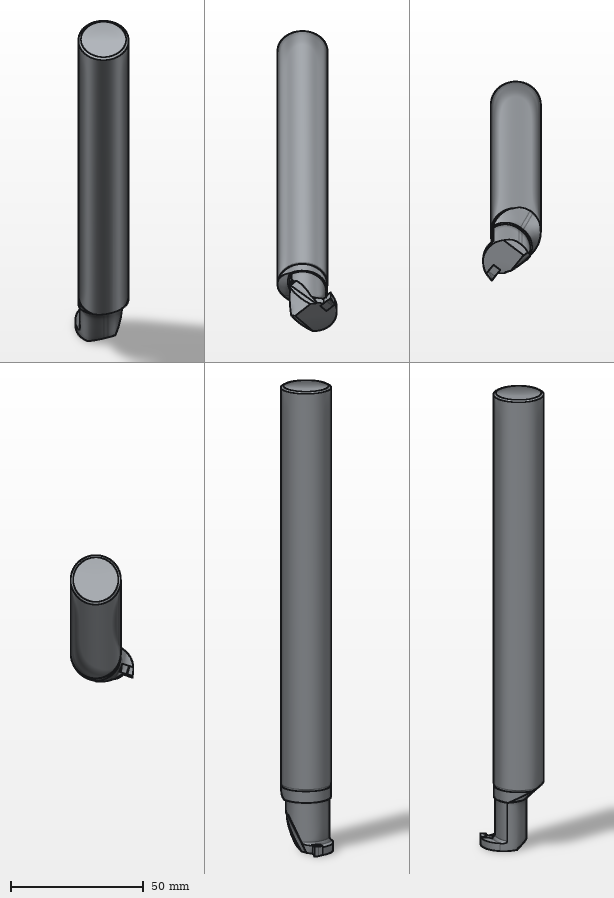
import cadquery as cq
import math


shank_diameter = 19.03
shank_radius = shank_diameter / 2
total_length = 180.0
shank_bottom = 24.3
top_chamfer_width = 1.0
top_chamfer_height = 0.6
shank_lower_chamfer_width = 0.2
shank_lower_chamfer_height = 0.9

collar_radius = 9.45
collar_bottom = 19.8
collar_cone_radius = 9.0
collar_cone_angle = 45.0

neck_radius = 8.9
back_center_x = -5.5
back_center_y = 0.7
back_radius = 8.3
neck_root_fillet = 1.0

foot_bottom = 0.4
foot_top = 3.5
foot_arc_radius = back_radius + back_center_y
foot_chamfer = 2.2
gullet_start = (-11.1, 0.0)
gullet_end = (-6.5, 6.0)

relief_low = (3.3, foot_bottom)
relief_middle = (6.4, 7.5)
relief_high = (8.9, collar_bottom)

scoop_wall_start = (-9.0, 2.0)
scoop_wall_end = (-1.0, 8.0)
scoop_floor_low = (2.0, foot_bottom)
scoop_floor_high = (7.8, 14.2)

insert_thickness = 3.3
insert_inner_x = -9.4
tip_inner_x = -12.6
tip_step_run = 0.5
tip_x = -14.745
tip_nose_x = -14.3
tip_top = 4.1
tip_back_drop = 0.3
flank_break = (-14.35, -1.4)


def rounded_back(z, radius):
    """Upright oblong outline, elongated along Y, around the offset back axis."""
    length = 2 * (back_center_y + radius)
    plane = cq.Workplane("XY").workplane(offset=z).center(back_center_x, 0)
    return plane.slot2D(length, 2 * radius, 90)


def make_shank():
    profile = [
        (0, shank_bottom),
        (shank_radius - shank_lower_chamfer_width, shank_bottom),
        (shank_radius, shank_bottom + shank_lower_chamfer_height),
        (shank_radius, total_length - top_chamfer_height),
        (shank_radius - top_chamfer_width, total_length),
        (0, total_length),
    ]
    shank = cq.Workplane("XZ").polyline(profile).close().revolve(360, (0, 0, 0), (0, 1, 0))
    collar_height = shank_bottom - collar_bottom
    collar_plane = cq.Workplane("XY").workplane(offset=collar_bottom)
    collar = collar_plane.circle(collar_radius).extrude(collar_height)
    cone_height = collar_height + 2 * shank_radius
    cone = rounded_back(collar_bottom, collar_cone_radius).extrude(cone_height, taper=-collar_cone_angle)
    lower_zone = cq.Workplane("XY").workplane(offset=collar_bottom)
    lower_zone = lower_zone.circle(2 * shank_radius).extrude(cone_height)
    return shank.union(collar).cut(lower_zone.cut(cone))


def make_neck():
    height = collar_bottom - foot_bottom
    column = cq.Workplane("XY").workplane(offset=foot_bottom).circle(neck_radius).extrude(height)
    return column.intersect(rounded_back(foot_bottom, back_radius).extrude(height))


def foot_blank(bottom, height):
    """Foot plan: insert-side arc, rounded back and the angled chip gullet."""
    diagonal = math.sqrt(0.5)
    back_x = back_center_x + back_radius
    outline = (
        cq.Workplane("XY").workplane(offset=bottom)
        .moveTo(back_center_x - foot_arc_radius, 0)
        .threePointArc(
            (back_center_x - foot_arc_radius * diagonal, -foot_arc_radius * diagonal),
            (back_center_x, -foot_arc_radius),
        )
        .threePointArc(
            (back_center_x + back_radius * diagonal, -back_center_y - back_radius * diagonal),
            (back_x, -back_center_y),
        )
        .lineTo(back_x, back_center_y)
        .threePointArc(
            (back_center_x + back_radius * diagonal, back_center_y + back_radius * diagonal),
            (back_center_x, back_center_y + back_radius),
        )
        .lineTo(*gullet_end)
        .lineTo(*gullet_start)
        .close()
    )
    return outline.extrude(height)


def make_root_fillet():
    """Concave ring joining the neck cylinder to the foot, kept within the foot plan."""
    outer = neck_radius + neck_root_fillet
    top = foot_top + neck_root_fillet
    sag = neck_root_fillet * (1 - math.sqrt(0.5))
    ring = (
        cq.Workplane("XZ")
        .moveTo(0, foot_top)
        .lineTo(outer, foot_top)
        .threePointArc((neck_radius + sag, foot_top + sag), (neck_radius, top))
        .lineTo(0, top)
        .close()
        .revolve(360, (0, 0, 0), (0, 1, 0))
    )
    return ring.intersect(foot_blank(foot_top, neck_root_fillet))


def make_side_relief():
    """Everything beyond the curved relief on the +Y side, below the collar."""
    far_y = 2 * shank_radius
    half_width = 2 * shank_radius
    return (
        cq.Workplane("YZ").workplane(offset=-half_width)
        .moveTo(*relief_low)
        .threePointArc(relief_middle, relief_high)
        .lineTo(far_y, collar_bottom)
        .lineTo(far_y, foot_bottom)
        .close()
        .extrude(2 * half_width)
    )


def make_scoop():
    far = 2 * shank_radius
    height = scoop_floor_high[1] - foot_bottom
    beyond_wall = (
        cq.Workplane("XY").workplane(offset=foot_bottom)
        .moveTo(*scoop_wall_start)
        .lineTo(*scoop_wall_end)
        .lineTo(scoop_wall_end[0], far)
        .lineTo(-far, far)
        .lineTo(-far, scoop_wall_start[1])
        .close()
        .extrude(height)
    )
    floor_profile = [
        scoop_floor_low,
        scoop_floor_high,
        (far, scoop_floor_high[1]),
        (far, foot_bottom),
    ]
    beyond_floor = cq.Workplane("YZ").workplane(offset=-far).polyline(floor_profile).close().extrude(2 * far)
    return beyond_wall.intersect(beyond_floor)


def make_foot_chamfer():
    back_x = back_center_x + back_radius
    corner = [
        (back_x, foot_bottom),
        (back_x, foot_bottom + foot_chamfer),
        (back_x - foot_chamfer, foot_bottom),
    ]
    return cq.Workplane("XZ").polyline(corner).close().extrude(2 * shank_radius, both=True)


def make_insert_pocket():
    """Open seat that the insert fills, reaching through the foot's outer edge."""
    width = insert_inner_x - 2 * tip_x
    pocket = cq.Workplane("XY").box(width, insert_thickness, foot_top - foot_bottom, centered=False)
    return pocket.translate((insert_inner_x - width, -insert_thickness, foot_bottom))


def make_insert():
    flank_end_x = back_center_x - math.sqrt(foot_arc_radius**2 - insert_thickness**2)
    step_x = tip_inner_x + tip_step_run
    plan = [
        (tip_x, 0),
        flank_break,
        (flank_end_x, -insert_thickness),
        (insert_inner_x, -insert_thickness),
        (insert_inner_x, 0),
    ]
    blank = cq.Workplane("XY").polyline(plan).close().extrude(tip_top)
    clearance = [
        (0, 0),
        (0, tip_top),
        (-insert_thickness, tip_top - tip_back_drop),
        (-insert_thickness, foot_bottom),
    ]
    length = insert_inner_x - tip_x
    wedge = cq.Workplane("YZ").workplane(offset=tip_x).polyline(clearance).close().extrude(length)
    rake_face = [
        (tip_x, tip_top),
        (tip_x, foot_bottom),
        (tip_nose_x, 0),
        (tip_inner_x, foot_bottom),
        (insert_inner_x, foot_bottom),
        (insert_inner_x, foot_top),
        (step_x, foot_top),
        (tip_inner_x, tip_top),
    ]
    face = cq.Workplane("XZ").polyline(rake_face).close().extrude(insert_thickness)
    return blank.intersect(wedge).intersect(face)


holder = make_shank().union(make_neck()).union(foot_blank(foot_bottom, foot_top - foot_bottom))
holder = holder.union(make_root_fillet())
holder = holder.cut(make_side_relief()).cut(make_scoop())
holder = holder.cut(make_foot_chamfer()).cut(make_insert_pocket())
insert = make_insert()

result = cq.Compound.makeCompound([holder.solids().val(), insert.solids().val()])